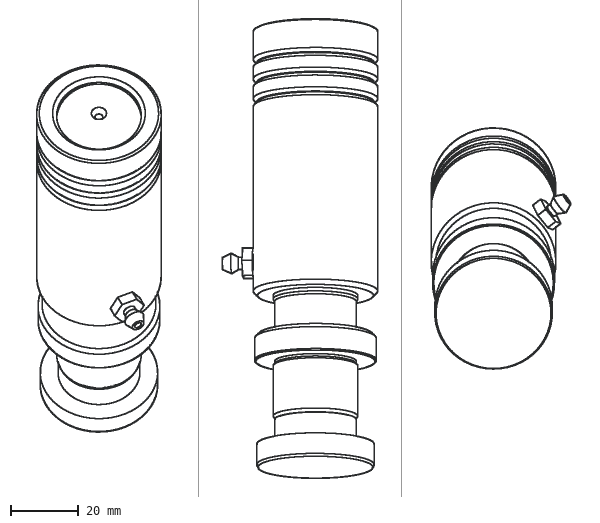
import cadquery as cq
import math

total_height = 132.0

disc_radius = 17.4
disc_height = 7.0
disc_chamfer_height = 0.8
disc_chamfer_width = 0.4
stem_radius = 12.1

post_radius = 12.5
post_bottom = 14.4
post_bottom_chamfer = 1.0
neck_radius = 12.1
neck_top = 50.0
neck_lead = 0.8
neck_fillet = 0.9
collar_radius = 18.1
collar_bottom = 32.0
collar_top = 40.1
collar_top_chamfer = 1.2
collar_bottom_chamfer = 0.4
relief_radius = 11.9
relief_height = 0.7
post_top_fillet = 3.0

centre_mouth_radius = 2.2
centre_drill_radius = 1.2
centre_cone_angle = 30.0
centre_drill_depth = 5.3
centre_tip_angle = 59.0

bushing_radius = 18.5
bushing_bottom = 51.9
bushing_bottom_chamfer = 1.3
bushing_top_chamfer_width = 0.8
bushing_top_chamfer_height = 0.4
bore_chamfer = 1.2
groove_count = 3
groove_pitch = 6.0
first_groove_height = 122.0
groove_width = 2.4
groove_depth = 1.0

nipple_height = 61.9
nipple_angle = -15.5
shank_radius = 3.0
shank_length = 4.0
hex_across_flats = 8.3
hex_thickness = 3.0
nipple_neck_radius = 1.8
nipple_neck_length = 1.3
head_radius = 3.0
head_tip_radius = 1.8
head_back_length = 2.1
head_front_length = 2.6
grease_hole_radius = 1.0
grease_hole_depth = 2.6


def revolve_about_z(sketch):
    """Turn a closed (radius, height) outline once round the Z axis."""
    return sketch.close().revolve(360, (0, 0, 0), (0, 1, 0))


def nipple_place(distance):
    """Plane across the nipple axis, at a distance from the main axis."""
    turn = math.radians(nipple_angle)
    outward = cq.Vector(math.cos(turn), math.sin(turn), 0)
    origin = outward * distance + cq.Vector(0, 0, nipple_height)
    return cq.Plane(origin=origin, xDir=(0, 0, 1), normal=outward)


def make_foot():
    outline = (
        cq.Workplane("XZ")
        .moveTo(0, 0)
        .lineTo(disc_radius - disc_chamfer_width, 0)
        .lineTo(disc_radius, disc_chamfer_height)
        .lineTo(disc_radius, disc_height)
        .lineTo(stem_radius, disc_height)
        .lineTo(stem_radius, post_bottom)
        .lineTo(0, post_bottom)
    )
    return revolve_about_z(outline)


def make_post():
    fillet_middle = neck_fillet * (1 - math.sqrt(0.5))
    top_middle = post_top_fillet * (1 - math.sqrt(0.5))
    relief_bottom = collar_bottom - relief_height
    outline = (
        cq.Workplane("XZ")
        .moveTo(0, post_bottom)
        .lineTo(post_radius - post_bottom_chamfer, post_bottom)
        .lineTo(post_radius, post_bottom + post_bottom_chamfer)
        .lineTo(post_radius, relief_bottom - (post_radius - relief_radius))
        .lineTo(relief_radius, relief_bottom)
        .lineTo(neck_radius, collar_bottom)
        .lineTo(collar_radius - collar_bottom_chamfer, collar_bottom)
        .lineTo(collar_radius, collar_bottom + collar_bottom_chamfer)
        .lineTo(collar_radius, collar_top - collar_top_chamfer)
        .lineTo(collar_radius - collar_top_chamfer, collar_top)
        .lineTo(neck_radius + neck_fillet, collar_top)
        .threePointArc(
            (neck_radius + fillet_middle, collar_top + fillet_middle),
            (neck_radius, collar_top + neck_fillet),
        )
        .lineTo(neck_radius, neck_top)
        .lineTo(post_radius, neck_top + neck_lead)
        .lineTo(post_radius, total_height - post_top_fillet)
        .threePointArc(
            (post_radius - top_middle, total_height - top_middle),
            (post_radius - post_top_fillet, total_height),
        )
        .lineTo(0, total_height)
    )
    return revolve_about_z(outline).cut(make_centre_hole())


def make_centre_hole():
    """Conical mouth leading into a blind drilled hole with a pointed end."""
    cone_depth = (centre_mouth_radius - centre_drill_radius) / math.tan(math.radians(centre_cone_angle))
    tip_depth = centre_drill_radius / math.tan(math.radians(centre_tip_angle))
    outline = (
        cq.Workplane("XZ")
        .moveTo(0, total_height)
        .lineTo(centre_mouth_radius, total_height)
        .lineTo(centre_drill_radius, total_height - cone_depth)
        .lineTo(centre_drill_radius, total_height - centre_drill_depth)
        .lineTo(0, total_height - centre_drill_depth - tip_depth)
    )
    return revolve_about_z(outline)


def make_groove(height):
    """Ring with 45 degree flanks that cuts one groove into the bushing."""
    half_mouth = groove_width / 2
    half_floor = half_mouth - groove_depth
    floor_radius = bushing_radius - groove_depth
    outline = (
        cq.Workplane("XZ")
        .moveTo(bushing_radius, height - half_mouth)
        .lineTo(bushing_radius, height + half_mouth)
        .lineTo(floor_radius, height + half_floor)
        .lineTo(floor_radius, height - half_floor)
    )
    return revolve_about_z(outline)


def make_shank():
    """Round shank of the nipple, and the shape of the hole it sits in."""
    start = nipple_place(bushing_radius - shank_length)
    return cq.Workplane(start).circle(shank_radius).extrude(shank_length)


def make_bushing():
    outline = (
        cq.Workplane("XZ")
        .moveTo(post_radius, bushing_bottom)
        .lineTo(bushing_radius - bushing_bottom_chamfer, bushing_bottom)
        .lineTo(bushing_radius, bushing_bottom + bushing_bottom_chamfer)
        .lineTo(bushing_radius, total_height - bushing_top_chamfer_height)
        .lineTo(bushing_radius - bushing_top_chamfer_width, total_height)
        .lineTo(post_radius + bore_chamfer, total_height)
        .lineTo(post_radius, total_height - bore_chamfer)
    )
    bushing = revolve_about_z(outline)
    for index in range(groove_count):
        bushing = bushing.cut(make_groove(first_groove_height - index * groove_pitch))
    return bushing.cut(make_shank())


def make_nipple():
    hex_nut = (
        cq.Workplane(nipple_place(bushing_radius))
        .polygon(6, hex_across_flats, circumscribed=True)
        .extrude(hex_thickness)
    )
    head_back = nipple_neck_length
    head_widest = head_back + head_back_length
    head_tip = head_widest + head_front_length
    head = (
        cq.Workplane(nipple_place(bushing_radius + hex_thickness))
        .transformed(rotate=(90, 0, 0))
        .moveTo(0, 0)
        .lineTo(nipple_neck_radius, 0)
        .lineTo(nipple_neck_radius, head_back)
        .lineTo(head_radius, head_widest)
        .lineTo(head_tip_radius, head_tip)
        .lineTo(grease_hole_radius, head_tip)
        .lineTo(grease_hole_radius, head_tip - grease_hole_depth)
        .lineTo(0, head_tip - grease_hole_depth)
    )
    return make_shank().union(hex_nut).union(revolve_about_z(head))


foot = make_foot()
post = make_post()
bushing = make_bushing()
nipple = make_nipple()

result = cq.Compound.makeCompound([foot.val(), post.val(), bushing.val(), nipple.val()])